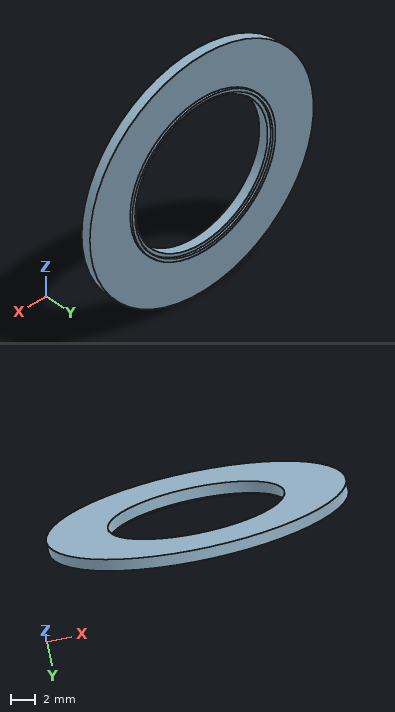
import cadquery as cq

outer_diameter = 25.0
bore_diameter = 14.7
rim_outer_diameter = 16.0
rim_inner_diameter = 15.4
total_thickness = 1.25
plate_thickness = 1.0
rim_height = total_thickness - plate_thickness


def ring(outside_diameter, inside_diameter, thickness, start_y):
    """Flat ring about the Y axis, growing toward +Y from start_y."""
    plane = cq.Workplane("XZ", origin=(0, start_y, 0))
    outline = plane.circle(outside_diameter / 2).circle(inside_diameter / 2)
    return outline.extrude(-thickness)


plate = ring(outer_diameter, bore_diameter, plate_thickness, 0)
rim = ring(rim_outer_diameter, rim_inner_diameter, rim_height, plate_thickness)

result = plate.union(rim)